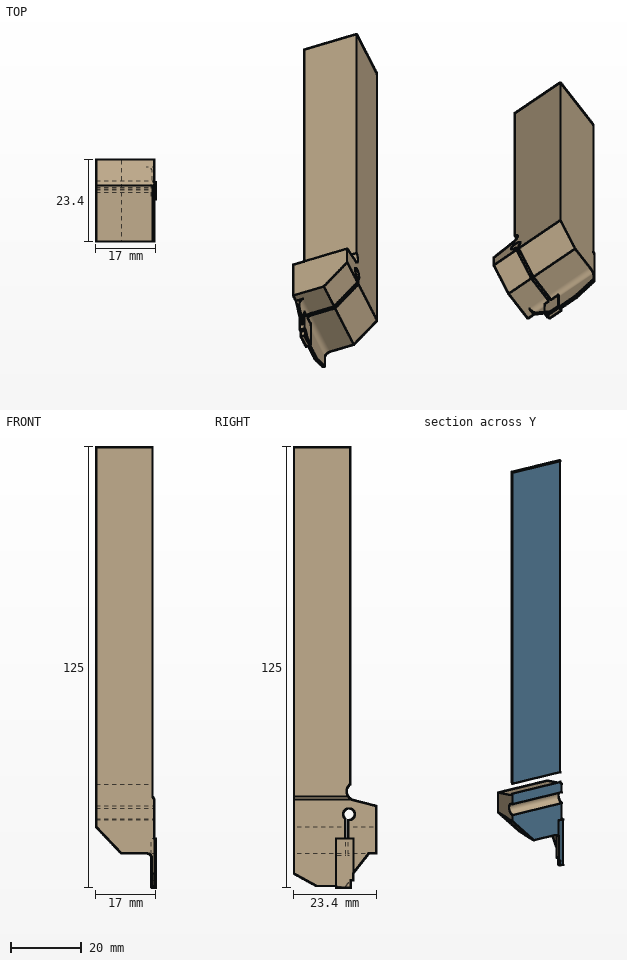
import cadquery as cq
import math

total_length = 125.0
shank_size = 16.0
head_depth = 23.4

pad_face_x = 16.5
pad_top_z = 25.9
pad_run_out = 0.8
blade_inner_x = 15.9
block_bottom_z = 9.8
corner_cut_x = 7.1
corner_cut_z = 7.5
root_radius = 1.6
blade_bottom_z = 0.5
heel_top_z = 4.0
heel_length = 6.4
jaw_start_y = 21.2
jaw_end_y = 14.0

relief_top_z = 29.4
relief_deep_y = 15.0
relief_deep_z = 27.6
relief_end_y = 17.0
relief_end_z = 24.9
head_back_z = 23.2

hole_y = 15.6
hole_z = 20.9
hole_diameter = 3.2
slit_y = 15.0
slit_width = 0.8

insert_inner_x = 15.5
insert_outer_x = 17.0
insert_low_y = 12.0
insert_high_y = 16.9
insert_top_z = 14.0
tip_y = 16.1
tip_height = 2.1
chip_width = 1.8
chip_height = 2.4
chip_depth = 0.4
edge_bevel = 0.4


def side_prism(sketch, start_x, end_x):
    """Extrude an outline drawn in Y and Z between two X positions."""
    return sketch.extrude(end_x - start_x).translate((start_x, 0, 0))


def make_front_profile():
    """Shank, beveled block and thin blade, swept through the full head depth."""
    blade_root_z = block_bottom_z - root_radius
    fillet_mid = root_radius * math.sqrt(0.5)
    return (
        cq.Workplane("XZ")
        .moveTo(0, total_length)
        .lineTo(0, block_bottom_z + corner_cut_z)
        .lineTo(corner_cut_x, block_bottom_z)
        .lineTo(blade_inner_x - root_radius, block_bottom_z)
        .threePointArc(
            (blade_inner_x - root_radius + fillet_mid, blade_root_z + fillet_mid),
            (blade_inner_x, blade_root_z),
        )
        .lineTo(blade_inner_x, blade_bottom_z)
        .lineTo(pad_face_x, blade_bottom_z)
        .lineTo(pad_face_x, pad_top_z - pad_run_out)
        .lineTo(shank_size, pad_top_z)
        .lineTo(shank_size, total_length)
        .close()
        .extrude(-head_depth)
    )


def make_side_profile():
    """Side outline of the shank, the clamping head and the blade."""
    outline = (
        cq.Workplane("YZ")
        .moveTo(0, total_length)
        .lineTo(0, heel_top_z)
        .lineTo(heel_length, blade_bottom_z)
        .lineTo(jaw_end_y, blade_bottom_z)
        .lineTo(jaw_start_y, block_bottom_z)
        .lineTo(head_depth, block_bottom_z)
        .lineTo(head_depth, head_back_z)
        .lineTo(relief_end_y, relief_end_z)
        .threePointArc((relief_deep_y, relief_deep_z), (shank_size, relief_top_z))
        .lineTo(shank_size, total_length)
        .close()
    )
    return side_prism(outline, 0, pad_face_x)


def make_slit():
    """Slit from the insert seat up to its round relief hole."""
    hole = side_prism(
        cq.Workplane("YZ").center(hole_y, hole_z).circle(hole_diameter / 2), 0, pad_face_x
    )
    slit_outline = cq.Workplane("YZ").center(slit_y, hole_z / 2).rect(slit_width, hole_z)
    return hole.union(side_prism(slit_outline, 0, pad_face_x))


def make_insert_seat():
    """Slot in the blade and block that the insert fills, open below."""
    size_x = insert_outer_x - insert_inner_x
    size_y = insert_high_y - insert_low_y
    return cq.Workplane("XY").box(size_x, size_y, insert_top_z, centered=False).translate(
        (insert_inner_x, insert_low_y, 0)
    )


def make_holder():
    body = make_front_profile().intersect(make_side_profile())
    return body.cut(make_slit()).cut(make_insert_seat())


def make_chip_groove():
    """Pyramid with its apex at the tip, so the groove deepens away from the corner."""
    apex = cq.Vector(insert_inner_x, tip_y, 0)
    low_edge = apex + cq.Vector(0, -chip_width, 0)
    high_edge = apex + cq.Vector(0, 0, chip_height)
    inward = cq.Vector(chip_depth, 0, 0)
    low_floor = low_edge + inward
    high_floor = high_edge + inward
    outlines = [
        [apex, low_edge, high_edge],
        [apex, low_floor, high_floor],
        [apex, low_edge, low_floor],
        [apex, high_edge, high_floor],
        [low_edge, high_edge, high_floor, low_floor],
    ]
    faces = [
        cq.Face.makeFromWires(cq.Wire.makePolygon(outline, close=True)) for outline in outlines
    ]
    return cq.Workplane(cq.Solid.makeSolid(cq.Shell.makeShell(faces)))


def make_insert():
    """Parting insert with a stepped tip, a beveled lower edge and a chip groove."""
    outline = (
        cq.Workplane("YZ")
        .moveTo(insert_low_y, 0)
        .lineTo(tip_y, 0)
        .lineTo(tip_y, tip_height)
        .lineTo(insert_high_y, tip_height)
        .lineTo(insert_high_y, insert_top_z)
        .lineTo(insert_low_y, insert_top_z)
        .close()
    )
    plate = side_prism(outline, insert_inner_x, insert_outer_x)
    lower_edge_middle = (insert_inner_x, (insert_low_y + tip_y) / 2, 0)
    plate = plate.edges(cq.selectors.NearestToPointSelector(lower_edge_middle)).chamfer(edge_bevel)
    return plate.cut(make_chip_groove())


holder = make_holder()
insert = make_insert()
result = cq.Compound.makeCompound([holder.solids().val(), insert.solids().val()])